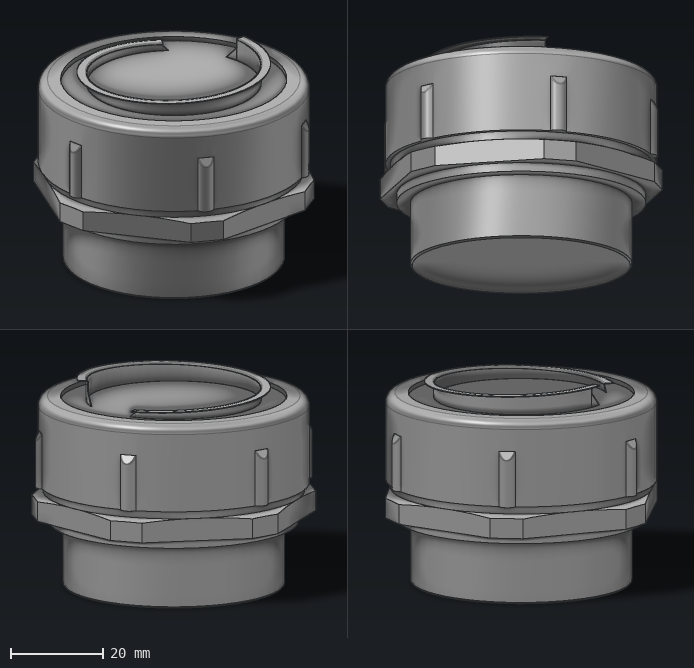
import cadquery as cq
import math

TUBE_TOP = 14.0
COLLAR_TOP = 15.9
HEX_TOP = 20.9
NUT_BOTTOM = 22.65
NUT_TOP = 41.8
PART_TOP = 46.0

TUBE_DIA = 48.0
COLLAR_DIA = 54.0
NECK_DIA = 56.8
NUT_DIA = 58.8
RECESS_DIA = 49.0

TUBE_CHAMFER = 0.35
NUT_FILLET = 2.0
RECESS_DEPTH = 1.0
RECESS_FLOOR = NUT_TOP - RECESS_DEPTH

HEX_SIDES = 6
HEX_FLATS = 56.65
HEX_CORNER_FLATS = 61.25
HEX_BEVEL_DROP = 0.55

RIB_COUNT = 6
RIB_RADIUS = 2.0
RIB_REACH = 30.45
RIB_TOP = 34.9
RIB_SLOPE_DROP = 1.85
RIB_EDGE_FILLET = 0.3

STRIP_BORE_RADIUS = 18.8
STRIP_THICKNESS = 0.2
STRIP_BEND_RADIUS = 0.2
STRIP_RIM_RADIUS = 21.0
STRIP_START_ANGLE = 143.4
STRIP_END_ANGLE = 450.0
STRIP_PITCH = 4.0

LOW_FOOT = (1.2, 1.15)
HIGH_FOOT = (3.0, 3.0)


def disc(diameter, bottom, top):
    return cq.Workplane("XY").workplane(offset=bottom).circle(diameter / 2).extrude(top - bottom)


def corner_radius(flats):
    """Centre-to-corner distance of a hexagon with the given width across flats."""
    return flats / 2 / math.cos(math.pi / HEX_SIDES)


def prism(flats, bottom, top, turn):
    """Regular hexagonal prism; turn 0 puts corners on the X axis."""
    base = cq.Workplane("XY").workplane(offset=bottom).polygon(HEX_SIDES, 2 * corner_radius(flats))
    return base.extrude(top - bottom).rotate((0, 0, 0), (0, 0, 1), turn)


def make_hexagon():
    hexagon = prism(HEX_FLATS, COLLAR_TOP, HEX_TOP, 180 / HEX_SIDES)
    corner_cut = prism(HEX_CORNER_FLATS, COLLAR_TOP, HEX_TOP, 0)
    bevel_reach = corner_radius(HEX_CORNER_FLATS)
    bevel_start = NECK_DIA / 2
    slope = HEX_BEVEL_DROP / (HEX_CORNER_FLATS / 2 - bevel_start)
    bevel_end = HEX_TOP - slope * (bevel_reach - bevel_start)
    bevel_cone = (
        cq.Workplane("XZ")
        .moveTo(0, COLLAR_TOP)
        .lineTo(bevel_reach, COLLAR_TOP)
        .lineTo(bevel_reach, bevel_end)
        .lineTo(bevel_start, HEX_TOP)
        .lineTo(0, HEX_TOP)
        .close()
        .revolve(360, (0, 0, 0), (0, 1, 0))
    )
    return hexagon.intersect(corner_cut).intersect(bevel_cone)


def make_body():
    tube = disc(TUBE_DIA, 0, TUBE_TOP).faces("<Z").chamfer(TUBE_CHAMFER)
    collar = disc(COLLAR_DIA, TUBE_TOP, COLLAR_TOP)
    neck = disc(NECK_DIA, HEX_TOP, NUT_BOTTOM)
    nut = disc(NUT_DIA, NUT_BOTTOM, NUT_TOP).faces(">Z").edges().fillet(NUT_FILLET)
    nut = nut.cut(disc(RECESS_DIA, RECESS_FLOOR, NUT_TOP))
    return tube.union(collar).union(make_hexagon()).union(neck).union(nut)


def make_rib():
    """Round rib on the +X side with its top sloping down and outward."""
    rib = (
        cq.Workplane("XY")
        .workplane(offset=NUT_BOTTOM)
        .center(RIB_REACH - RIB_RADIUS, 0)
        .circle(RIB_RADIUS)
        .extrude(RIB_TOP - NUT_BOTTOM)
    )
    slope_cut = (
        cq.Workplane("XZ")
        .moveTo(NUT_DIA / 2, RIB_TOP)
        .lineTo(RIB_REACH, RIB_TOP)
        .lineTo(RIB_REACH, RIB_TOP - RIB_SLOPE_DROP)
        .close()
        .extrude(RIB_RADIUS, both=True)
    )
    rib = rib.cut(slope_cut)
    slope_edges = rib.faces("not(#Z or |Z)").edges("%ELLIPSE")
    return slope_edges.fillet(RIB_EDGE_FILLET)


def make_strip():
    """Helical sweep of a wall with an outward rim; the wall runs down into the body."""
    wall_outer = STRIP_BORE_RADIUS + STRIP_THICKNESS
    bend_end = wall_outer + STRIP_BEND_RADIUS
    outer_bend = STRIP_BEND_RADIUS + STRIP_THICKNESS
    turn = STRIP_END_ANGLE - STRIP_START_ANGLE
    climb = STRIP_PITCH * turn / 360
    start_top = PART_TOP - climb
    wall_bottom = start_top - (PART_TOP - RECESS_FLOOR) - STRIP_THICKNESS
    profile = (
        cq.Workplane("XZ")
        .moveTo(STRIP_BORE_RADIUS, wall_bottom)
        .lineTo(wall_outer, wall_bottom)
        .lineTo(wall_outer, start_top - outer_bend)
        .radiusArc((bend_end, start_top - STRIP_THICKNESS), STRIP_BEND_RADIUS)
        .lineTo(STRIP_RIM_RADIUS, start_top - STRIP_THICKNESS)
        .lineTo(STRIP_RIM_RADIUS, start_top)
        .lineTo(bend_end, start_top)
        .radiusArc((STRIP_BORE_RADIUS, start_top - outer_bend), -outer_bend)
        .close()
    )
    path = cq.Workplane(cq.Wire.makeHelix(STRIP_PITCH, climb, STRIP_BORE_RADIUS))
    strip = profile.sweep(path, isFrenet=True)
    return strip.rotate((0, 0, 0), (0, 0, 1), STRIP_START_ANGLE)


def make_foot(foot, angle, direction):
    """Triangular wall extension beyond a strip end; direction +1 is counter-clockwise."""
    length, height = foot
    wall_outer = STRIP_BORE_RADIUS + STRIP_THICKNESS
    overlap = STRIP_THICKNESS
    ring = disc(2 * wall_outer, RECESS_FLOOR - overlap, PART_TOP)
    ring = ring.cut(disc(2 * STRIP_BORE_RADIUS, RECESS_FLOOR - overlap, PART_TOP))
    wedge = (
        cq.Workplane("YZ")
        .moveTo(-direction * overlap, RECESS_FLOOR - overlap)
        .lineTo(direction * length, RECESS_FLOOR - overlap)
        .lineTo(direction * length, RECESS_FLOOR)
        .lineTo(0, RECESS_FLOOR + height)
        .lineTo(-direction * overlap, RECESS_FLOOR + height)
        .close()
        .extrude(wall_outer)
    )
    return wedge.intersect(ring).rotate((0, 0, 0), (0, 0, 1), angle)


result = make_body()
rib = make_rib()
for index in range(RIB_COUNT):
    rib_angle = 90 + index * 360 / RIB_COUNT
    result = result.union(rib.rotate((0, 0, 0), (0, 0, 1), rib_angle))
result = result.union(make_strip())
result = result.union(make_foot(LOW_FOOT, STRIP_START_ANGLE, -1))
result = result.union(make_foot(HIGH_FOOT, STRIP_END_ANGLE, 1))